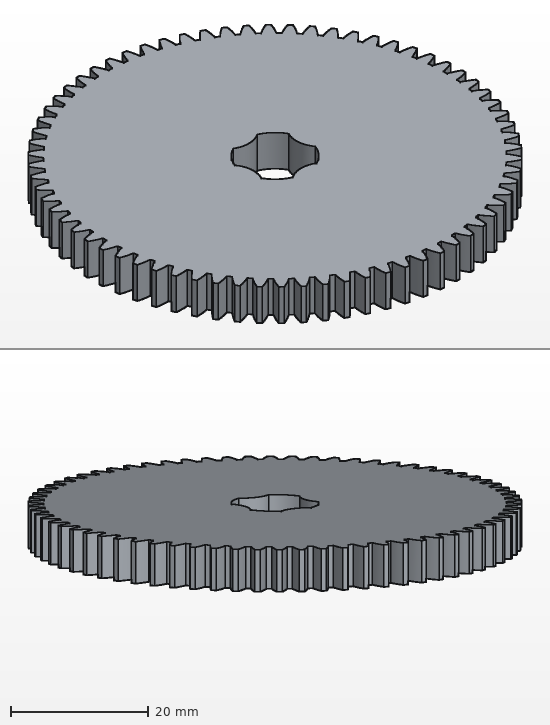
import cadquery as cq
import math

TOOTH_COUNT = 70
GEAR_MODULE = 1.0
PRESSURE_ANGLE = math.radians(20)
ADDENDUM = GEAR_MODULE
DEDENDUM = 1.25 * GEAR_MODULE
THICKNESS = 6.25

PITCH_RADIUS = GEAR_MODULE * TOOTH_COUNT / 2
TIP_RADIUS = PITCH_RADIUS + ADDENDUM
ROOT_RADIUS = PITCH_RADIUS - DEDENDUM
BASE_RADIUS = PITCH_RADIUS * math.cos(PRESSURE_ANGLE)
TOOTH_PITCH_ANGLE = 2 * math.pi / TOOTH_COUNT

BORE_RADIUS = 6.4
LOBE_CLEARANCE = 5.1
LOBE_HALF_WIDTH = 2.6
LOBE_COUNT = 4


def polar(radius, angle):
    return (radius * math.cos(angle), radius * math.sin(angle))


def involute(angle):
    return math.tan(angle) - angle


def half_tooth_angle(radius):
    """Half the angle that an involute tooth spans at the given radius."""
    local_pressure_angle = math.acos(BASE_RADIUS / radius)
    half_at_pitch = TOOTH_PITCH_ANGLE / 4
    return half_at_pitch + involute(PRESSURE_ANGLE) - involute(local_pressure_angle)


def make_toothed_disc():
    """Disc with one tooth centred on +X; each flank is an arc through three involute points."""
    root_half = half_tooth_angle(ROOT_RADIUS)
    pitch_half = half_tooth_angle(PITCH_RADIUS)
    tip_half = half_tooth_angle(TIP_RADIUS)

    outline = cq.Workplane("XY").moveTo(*polar(ROOT_RADIUS, -root_half))
    for index in range(TOOTH_COUNT):
        centre = index * TOOTH_PITCH_ANGLE
        gap_centre = centre + TOOTH_PITCH_ANGLE / 2
        next_root = centre + TOOTH_PITCH_ANGLE - root_half
        outline = (
            outline
            .threePointArc(polar(PITCH_RADIUS, centre - pitch_half), polar(TIP_RADIUS, centre - tip_half))
            .threePointArc(polar(TIP_RADIUS, centre), polar(TIP_RADIUS, centre + tip_half))
            .threePointArc(polar(PITCH_RADIUS, centre + pitch_half), polar(ROOT_RADIUS, centre + root_half))
            .threePointArc(polar(ROOT_RADIUS, gap_centre), polar(ROOT_RADIUS, next_root))
        )
    return outline.close().extrude(THICKNESS)


def make_bore():
    """Through cutter for the lobed bore."""
    lobe_half_angle = math.asin(LOBE_HALF_WIDTH / BORE_RADIUS)
    lobe_step = 2 * math.pi / LOBE_COUNT

    outline = cq.Workplane("XY").moveTo(*polar(BORE_RADIUS, -lobe_half_angle))
    for index in range(LOBE_COUNT):
        centre = index * lobe_step
        corner_centre = centre + lobe_step / 2
        next_lobe = centre + lobe_step - lobe_half_angle
        outline = (
            outline
            .threePointArc(polar(LOBE_CLEARANCE, centre), polar(BORE_RADIUS, centre + lobe_half_angle))
            .threePointArc(polar(BORE_RADIUS, corner_centre), polar(BORE_RADIUS, next_lobe))
        )
    return outline.close().extrude(THICKNESS)


result = make_toothed_disc().cut(make_bore())